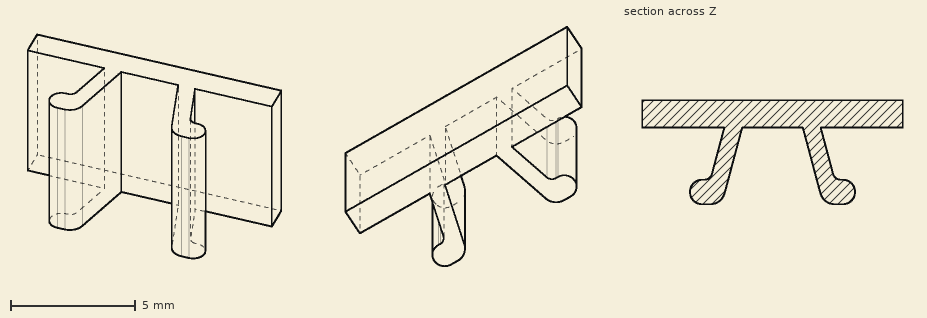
import cadquery as cq
import math

plate_width = 10.5
total_depth = 4.2
height = 6.15
plate_thickness = 1.11

leg_angle = 15.0
leg_thickness = 0.7
leg_root_gap = 2.44

hook_span = 6.66
hook_thickness = 1.0
heel_radius = 0.61
neck_radius = 0.3

plate_front = total_depth / 2 - plate_thickness
hook_bottom = -total_depth / 2
hook_top = hook_bottom + hook_thickness
nose_radius = hook_thickness / 2
nose_tip_x = hook_span / 2
nose_center_x = nose_tip_x - nose_radius
leg_root_overlap = plate_thickness / 2
leg_root_y = plate_front + leg_root_overlap
inner_root_x = leg_root_gap / 2
outer_root_x = inner_root_x + leg_thickness / math.cos(math.radians(leg_angle))


def splayed_x(root_x, y):
    """X of a leg face at depth y, given its X where it meets the plate."""
    return root_x + (plate_front - y) * math.tan(math.radians(leg_angle))


def make_plate():
    return cq.Workplane("XY").box(plate_width, plate_thickness, height).translate(
        (0, plate_front + plate_thickness / 2, 0)
    )


def make_right_leg():
    """Leg and hook, with the heel and neck corners rounded."""
    heel_x = splayed_x(inner_root_x, hook_bottom)
    neck_x = splayed_x(outer_root_x, hook_top)
    leg = (
        cq.Workplane("XY", origin=(0, 0, -height / 2))
        .moveTo(splayed_x(inner_root_x, leg_root_y), leg_root_y)
        .lineTo(heel_x, hook_bottom)
        .lineTo(nose_center_x, hook_bottom)
        .threePointArc((nose_tip_x, hook_bottom + nose_radius), (nose_center_x, hook_top))
        .lineTo(neck_x, hook_top)
        .lineTo(splayed_x(outer_root_x, leg_root_y), leg_root_y)
        .close()
        .extrude(height)
    )
    leg = leg.edges(cq.NearestToPointSelector((heel_x, hook_bottom, 0))).fillet(heel_radius)
    return leg.edges(cq.NearestToPointSelector((neck_x, hook_top, 0))).fillet(neck_radius)


right_leg = make_right_leg()
left_leg = right_leg.mirror("YZ")
result = make_plate().union(right_leg).union(left_leg)